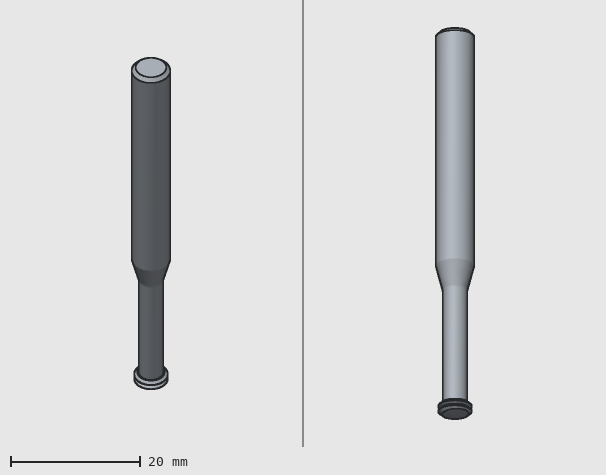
import cadquery as cq

total_length = 63.0
shank_radius = 6.0 / 2
top_chamfer = 0.6
shank_bottom = 24.65

neck_radius = 3.85 / 2
cone_bottom = 20.65
neck_top = 20.3
fillet_flare = 0.03
cone_bottom_radius = neck_radius + fillet_flare

crest_radius = 5.2 / 2
root_radius = 4.2 / 2
tooth_pitch = 0.8
crest_flat = 0.05
lower_crest = 0.5
flank_height = 0.4
head_top = 1.8
tip_radius = 2.0

end_face_rise = 0.2

upper_crest = lower_crest + tooth_pitch
fillet_mid = (neck_radius + fillet_flare / 4, (cone_bottom + neck_top) / 2)


def make_body():
    """Revolve the half profile around Z."""
    profile = (
        cq.Workplane("XZ")
        .moveTo(0, 0)
        .lineTo(tip_radius, 0)
        .lineTo(crest_radius, lower_crest)
        .lineTo(crest_radius, lower_crest + crest_flat)
        .lineTo(root_radius, lower_crest + flank_height)
        .lineTo(root_radius, upper_crest - flank_height + crest_flat)
        .lineTo(crest_radius, upper_crest)
        .lineTo(crest_radius, upper_crest + crest_flat)
        .lineTo(root_radius, head_top)
        .lineTo(neck_radius, head_top)
        .lineTo(neck_radius, neck_top)
        .threePointArc(fillet_mid, (cone_bottom_radius, cone_bottom))
        .lineTo(shank_radius, shank_bottom)
        .lineTo(shank_radius, total_length - top_chamfer)
        .lineTo(shank_radius - top_chamfer, total_length)
        .lineTo(0, total_length)
        .close()
    )
    return profile.revolve(360, (0, 0, 0), (0, 1, 0))


def make_end_relief():
    """Wedge below the sloping end face, wide enough to clear the head."""
    return (
        cq.Workplane("XZ")
        .polyline([(-crest_radius, 0), (-crest_radius, end_face_rise), (0, 0)])
        .close()
        .extrude(crest_radius, both=True)
    )


result = make_body().cut(make_end_relief())